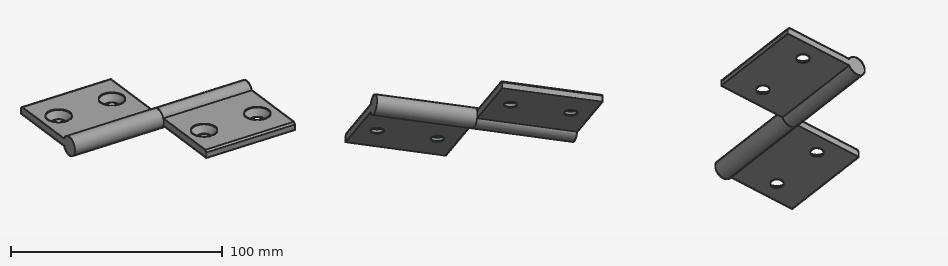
import cadquery as cq

hinge_length = 100.0
hinge_width = 84.0
knuckle_diameter = 10.0
plate_thickness = 4.0
plate_top = plate_thickness / 2
edge_chamfer = 1.0
hole_diameter = 6.4
sink_diameter = 12.6
sink_angle = 90.0
sink_rim_depth = 0.5
hole_spacing = 30.0
hole_offset = 24.6

leaf_length = hinge_length / 2
leaf_reach = hinge_width / 2


def make_leaf():
    """Leaf reaching toward +X, spanning Y = 0 to leaf_length, with its knuckle on the Y axis."""
    plate = (
        cq.Workplane("XY", origin=(0, 0, plate_top - plate_thickness))
        .box(leaf_reach, leaf_length, plate_thickness, centered=False)
        .edges(">X and >Z")
        .chamfer(edge_chamfer)
    )
    knuckle = cq.Workplane("XZ").circle(knuckle_diameter / 2).extrude(-leaf_length)
    hole_places = [(hole_offset, leaf_length / 2 + side * hole_spacing / 2) for side in (-1, 1)]
    return (
        plate.union(knuckle)
        .copyWorkplane(cq.Workplane("XY", origin=(0, 0, plate_top)))
        .pushPoints(hole_places)
        .hole(sink_diameter, sink_rim_depth)
        .copyWorkplane(cq.Workplane("XY", origin=(0, 0, plate_top - sink_rim_depth)))
        .pushPoints(hole_places)
        .cskHole(hole_diameter, sink_diameter, sink_angle)
    )


right_leaf = make_leaf()
left_leaf = make_leaf().rotate((0, 0, 0), (0, 0, 1), 180)

result = cq.Compound.makeCompound([right_leaf.val(), left_leaf.val()])